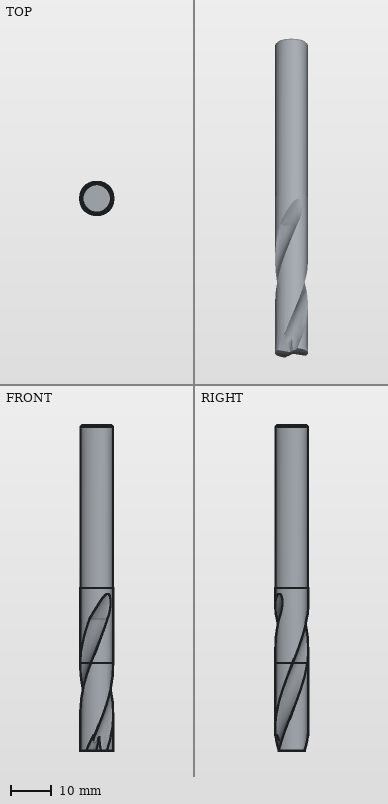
import cadquery as cq
import math

TOTAL_LENGTH = 80.0
CUTTER_LENGTH = 21.6
NECK_TOP = 40.0
FLUTE_TOP = 32.4
RUNOUT_TOP = 38.6

CUTTER_DIAMETER = 8.2
CUTTER_RADIUS = CUTTER_DIAMETER / 2
SHANK_DIAMETER = 8.0
SHANK_CHAMFER = 0.5

FLUTE_COUNT = 2
FLUTE_RADIUS = 2.3
HELIX_PITCH = 64.0
FLUTE_START_ANGLE = -85.0
RUNOUT_TURN = 34.0

GASH_HEIGHT = 3.9
GASH_BOTTOM = [(-3.4, -4.0), (-0.2, -0.8), (1.6, -2.3), (1.8, -4.8)]
GASH_TOP = [(-1.2, -4.7), (0.8, -1.8), (1.5, -2.3), (1.8, -4.8)]

AXIS_START = (0, 0, 0)
AXIS_END = (0, 0, 1)


def turned(shape, angle):
    """Turn a shape about the tool axis."""
    return shape.rotate(AXIS_START, AXIS_END, angle)


def flute_circle(z, radial_distance, angle):
    """Horizontal groove section at one height."""
    x = radial_distance * math.cos(math.radians(angle))
    y = radial_distance * math.sin(math.radians(angle))
    return cq.Wire.makeCircle(FLUTE_RADIUS, cq.Vector(x, y, z), cq.Vector(0, 0, 1))


def flute_helix():
    """Right-hand helical groove from the tip up to the run-out."""
    twist = 360 * FLUTE_TOP / HELIX_PITCH
    section = flute_circle(0, CUTTER_RADIUS, 0)
    helix = cq.Solid.extrudeLinearWithRotation(
        section, [], cq.Vector(0, 0, 0), cq.Vector(0, 0, FLUTE_TOP), twist
    )
    return turned(cq.Workplane(obj=helix), FLUTE_START_ANGLE)


def flute_runout():
    """Straight oblique groove that leaves the neck surface at its top."""
    start_angle = FLUTE_START_ANGLE + 360 * FLUTE_TOP / HELIX_PITCH
    start = flute_circle(FLUTE_TOP, CUTTER_RADIUS, start_angle)
    end = flute_circle(RUNOUT_TOP, CUTTER_RADIUS + FLUTE_RADIUS, start_angle + RUNOUT_TURN)
    return cq.Workplane(obj=cq.Solid.makeLoft([start, end], True))


def gash_outline(points, z):
    """Closed horizontal section of the gash at one height."""
    corners = [cq.Vector(x, y, z) for x, y in points]
    return cq.Wire.makePolygon(corners, close=True)


def tip_gash():
    """Leaning V-shaped cutter that runs out into the flute above the tip."""
    bottom = gash_outline(GASH_BOTTOM, 0)
    top = gash_outline(GASH_TOP, GASH_HEIGHT)
    return cq.Workplane(obj=cq.Solid.makeLoft([bottom, top], True))


def cut_around(body, tool):
    """Cut evenly spaced copies of a tool from a body."""
    for index in range(FLUTE_COUNT):
        body = body.cut(turned(tool, index * 360 / FLUTE_COUNT))
    return body


def make_cutter():
    """Lower body: fluted cutting end with gashed tip."""
    cutter = cq.Workplane("XY").circle(CUTTER_RADIUS).extrude(CUTTER_LENGTH)
    cutter = cut_around(cutter, flute_helix())
    return cut_around(cutter, tip_gash())


def make_shank():
    """Upper body: fluted neck and plain chamfered shank."""
    shank = (
        cq.Workplane("XY")
        .workplane(offset=NECK_TOP)
        .circle(SHANK_DIAMETER / 2)
        .extrude(TOTAL_LENGTH - NECK_TOP)
        .faces(">Z")
        .chamfer(SHANK_CHAMFER)
    )
    neck = (
        cq.Workplane("XY")
        .workplane(offset=CUTTER_LENGTH)
        .circle(CUTTER_RADIUS)
        .extrude(NECK_TOP - CUTTER_LENGTH)
    )
    neck = cut_around(neck, flute_helix())
    neck = cut_around(neck, flute_runout())
    return neck.union(shank)


cutter = make_cutter()
shank = make_shank()

result = cq.Compound.makeCompound([cutter.val(), shank.val()])